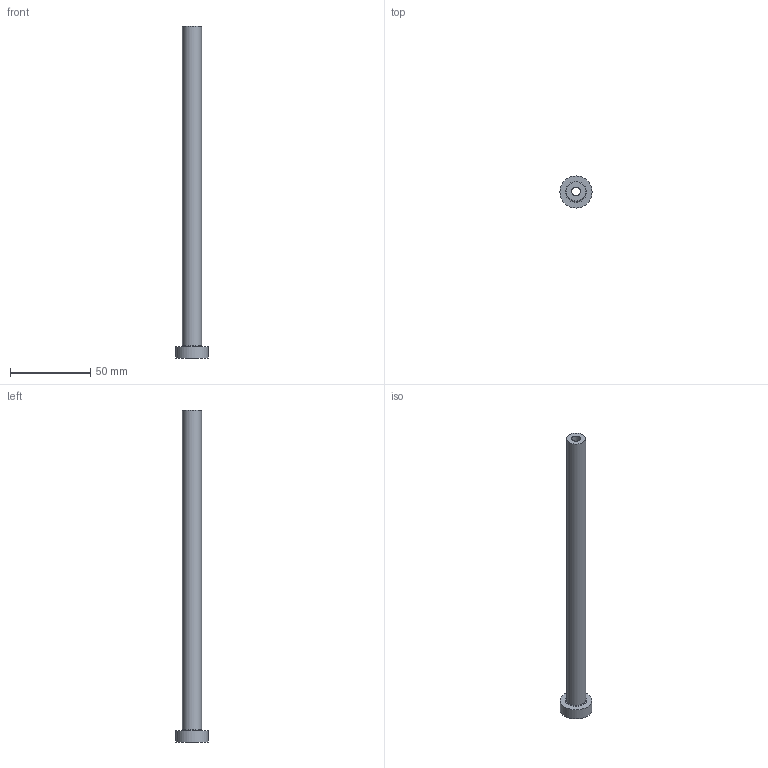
import cadquery as cq

head_diameter = 20.0
head_height = 7.0
tube_diameter = 12.0
tube_length = 200.0
bore_diameter = 5.5
root_fillet_radius = 0.5

head_radius = head_diameter / 2
tube_radius = tube_diameter / 2
bore_radius = bore_diameter / 2
total_length = head_height + tube_length


def make_half_section():
    """Section of the sleeve wall on the -X side of the axis, in the XZ plane."""
    fillet_top = (-tube_radius, head_height + root_fillet_radius)
    fillet_foot = (-(tube_radius + root_fillet_radius), head_height)
    return (
        cq.Workplane("XZ")
        .moveTo(-bore_radius, 0)
        .lineTo(-bore_radius, total_length)
        .lineTo(-tube_radius, total_length)
        .lineTo(*fillet_top)
        .radiusArc(fillet_foot, root_fillet_radius)
        .lineTo(-head_radius, head_height)
        .lineTo(-head_radius, 0)
        .close()
    )


def make_sleeve():
    """Turn the section a full revolution about the Z axis."""
    return make_half_section().revolve(360, (0, 0, 0), (0, 1, 0))


result = make_sleeve()